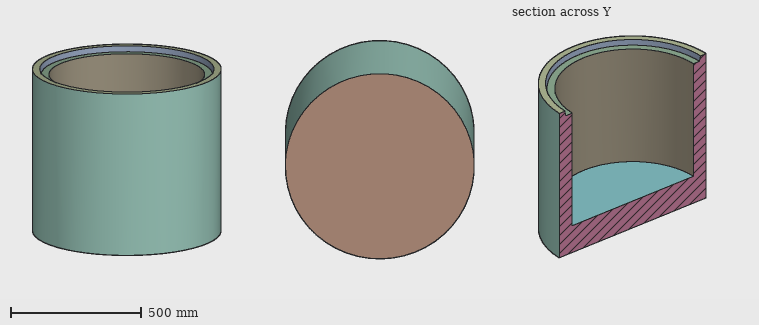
import cadquery as cq

outer_diameter = 726.0
height = 643.0
base_height = 121.0
bore_diameter = 598.0

seat_depth = 22.0
seat_top_diameter = 669.5
seat_bottom_diameter = 658.0

seat_height = height - seat_depth

half_section = [
    (0, 0),
    (outer_diameter / 2, 0),
    (outer_diameter / 2, height),
    (seat_top_diameter / 2, height),
    (seat_bottom_diameter / 2, seat_height),
    (bore_diameter / 2, seat_height),
    (bore_diameter / 2, base_height),
    (0, base_height),
]

result = (
    cq.Workplane("XZ")
    .polyline(half_section)
    .close()
    .revolve(360, (0, 0, 0), (0, 1, 0))
)